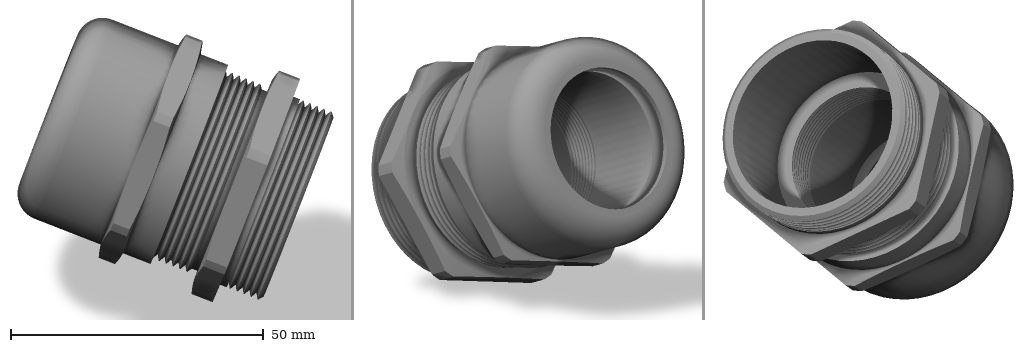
import cadquery as cq
import math


ROLL = 8.2
TILT = 17.7
SWING = 22.2

CAP_FRONT = -27.5
LAND_REAR = -26.35
SEAL_FRONT = -22.75
SEAL_REAR = -5.75
CAP_HEX_FRONT = -8.2
CAP_HEX_REAR = -3.4
CAP_REAR = 2.4
FRONT_THREAD_END = 10.4
BODY_HEX_FRONT = 11.65
BODY_HEX_REAR = 16.7
REAR_THREAD_START = 18.15
BODY_REAR = 25.65

CAP_D = 42.35
CAP_ROUND = 5.3
CAP_HOLE_D = 28.45

HEX_FLATS = 43.1
HEX_CORNERS_D = 48.6
BODY_HEX_FACE_D = HEX_FLATS
HEX_CHAMFER_ANGLE = 12.0

THREAD_PITCH = 1.5
THREAD_CREST_FLAT = 0.2
THREAD_CREST_D = 40.0
THREAD_ROOT_D = 37.65
FRONT_THREAD_TURNS = 10
REAR_THREAD_TURNS = 5

BODY_FRONT = SEAL_REAR
NECK_D = 38.1
REAR_TIP_D = NECK_D
BODY_BORE_D = 34.8

SEAL_D = 33.8
SEAL_BORE_D = 28.45
CLAMP_D = BODY_BORE_D
GROOVE_START = -3.6
GROOVE_PITCH = 1.0
GROOVE_COUNT = 8
CLAMP_REAR = GROOVE_START + GROOVE_COUNT * GROOVE_PITCH
GROOVE_D = 28.8


def turned(profile):
    """Closed (axial, radial) wire turned about the gland axis."""
    return profile.close().revolve(360, (0, 0, 0), (1, 0, 0))


def turned_points(points):
    return turned(cq.Workplane("XY").polyline(points))


def hexagon(front, rear, face_d, bore_d, rear_chamfer):
    """Hexagon with turned corners and a shallow cone over the corners of its front, or both, faces."""
    across_corners = HEX_FLATS / math.cos(math.pi / 6)
    prism = cq.Workplane("YZ", origin=(front, 0, 0)).polygon(6, across_corners).extrude(rear - front)

    face_r = face_d / 2
    corner_r = HEX_CORNERS_D / 2
    drop = (corner_r - face_r) * math.tan(math.radians(HEX_CHAMFER_ANGLE))
    points = [(front, bore_d / 2), (front, face_r), (front + drop, corner_r)]
    if rear_chamfer:
        points += [(rear - drop, corner_r), (rear, face_r)]
    else:
        points += [(rear, corner_r)]
    points += [(rear, bore_d / 2)]
    return prism.intersect(turned_points(points))


def thread_points(start, turns):
    """Outline of the thread rings: each rises from the root to a narrow crest flat."""
    flank = (THREAD_PITCH - THREAD_CREST_FLAT) / 2
    root_r = THREAD_ROOT_D / 2
    crest_r = THREAD_CREST_D / 2
    points = []
    for turn in range(turns):
        root = start + turn * THREAD_PITCH
        crest = root + flank
        points += [(root, root_r), (crest, crest_r), (crest + THREAD_CREST_FLAT, crest_r)]
    return points


def make_cap():
    outer_r = CAP_D / 2
    seal_r = SEAL_D / 2
    hole_r = CAP_HOLE_D / 2
    thread_r = THREAD_CREST_D / 2
    hollow_length = SEAL_FRONT - LAND_REAR
    hollow_rise = seal_r - hole_r
    hollow_arc = (hollow_length**2 + hollow_rise**2) / (2 * hollow_rise)
    profile = (
        cq.Workplane("XY")
        .moveTo(CAP_FRONT, hole_r)
        .lineTo(CAP_FRONT, outer_r - CAP_ROUND)
        .radiusArc((CAP_FRONT + CAP_ROUND, outer_r), CAP_ROUND)
        .lineTo(CAP_REAR, outer_r)
        .lineTo(CAP_REAR, thread_r)
        .lineTo(BODY_FRONT, thread_r)
        .lineTo(BODY_FRONT, seal_r)
        .lineTo(SEAL_FRONT, seal_r)
        .radiusArc((LAND_REAR, hole_r), -hollow_arc)
    )
    return turned(profile).union(hexagon(CAP_HEX_FRONT, CAP_HEX_REAR, CAP_D, THREAD_CREST_D, True))


def make_body():
    bore_r = BODY_BORE_D / 2
    neck_r = NECK_D / 2
    front_thread_start = FRONT_THREAD_END - FRONT_THREAD_TURNS * THREAD_PITCH
    points = [(BODY_FRONT, bore_r), (BODY_FRONT, THREAD_ROOT_D / 2)]
    points += thread_points(front_thread_start, FRONT_THREAD_TURNS)
    points += [(FRONT_THREAD_END, neck_r), (BODY_HEX_REAR, neck_r)]
    points += [(BODY_HEX_REAR, THREAD_CREST_D / 2), (REAR_THREAD_START, THREAD_CREST_D / 2)]
    points += thread_points(REAR_THREAD_START, REAR_THREAD_TURNS)
    points += [(BODY_REAR, REAR_TIP_D / 2), (BODY_REAR, bore_r)]
    hex_flange = hexagon(BODY_HEX_FRONT, BODY_HEX_REAR, BODY_HEX_FACE_D, BODY_BORE_D, False)
    return turned_points(points).union(hex_flange)


def make_seal():
    outer_r = SEAL_D / 2
    bore_r = SEAL_BORE_D / 2
    points = [(SEAL_FRONT, bore_r), (SEAL_FRONT, outer_r)]
    points += [(SEAL_REAR, outer_r), (SEAL_REAR, bore_r)]
    return turned_points(points)


def make_clamp():
    outer_r = CLAMP_D / 2
    bore_r = SEAL_BORE_D / 2
    points = [(SEAL_REAR, outer_r), (SEAL_REAR, bore_r)]
    for groove in range(GROOVE_COUNT):
        start = GROOVE_START + groove * GROOVE_PITCH
        points += [(start, bore_r), (start + GROOVE_PITCH / 2, GROOVE_D / 2)]
    points += [(CLAMP_REAR, bore_r), (CLAMP_REAR, outer_r)]
    return turned_points(points)


def placed(body):
    origin = (0, 0, 0)
    body = body.rotate(origin, (1, 0, 0), ROLL)
    body = body.rotate(origin, (0, 1, 0), TILT)
    body = body.rotate(origin, (0, 0, 1), SWING)
    return body.val()


cap = placed(make_cap())
body = placed(make_body())
seal = placed(make_seal())
clamp = placed(make_clamp())

result = cq.Compound.makeCompound([cap, body, seal, clamp])